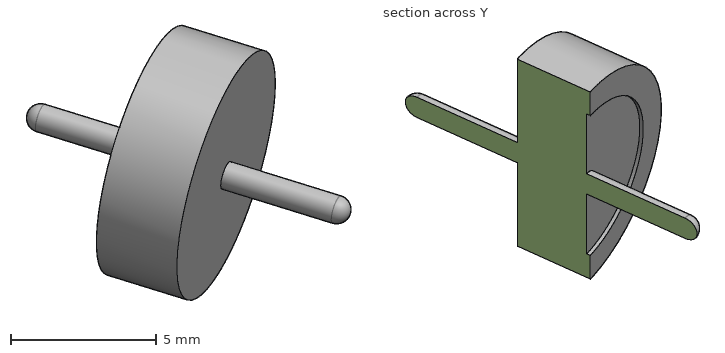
import cadquery as cq

pin_length = 12.0
pin_diameter = 1.0
disc_diameter = 9.0
disc_thickness = 3.0
pin_stub_length = 4.39

recess_diameter = 6.7
recess_depth = 0.15

pin_start = -pin_length / 2
disc_start = pin_start + pin_stub_length


def cylinder_along_x(start, length, diameter):
    """Solid cylinder centred on the X axis, running from start towards +X."""
    return cq.Workplane("YZ", origin=(start, 0, 0)).circle(diameter / 2).extrude(length)


def round_ended_pin():
    """Pin along X with a hemisphere at each end."""
    radius = pin_diameter / 2
    shank = cylinder_along_x(pin_start + radius, pin_length - pin_diameter, pin_diameter)
    tip_centre = pin_length / 2 - radius
    for centre in (-tip_centre, tip_centre):
        tip = cq.Workplane("XY", origin=(centre, 0, 0)).sphere(radius, direct=(1, 0, 0))
        shank = shank.union(tip)
    return shank


disc = cylinder_along_x(disc_start, disc_thickness, disc_diameter)
recess = cylinder_along_x(disc_start, recess_depth, recess_diameter)

result = disc.cut(recess).union(round_ended_pin())